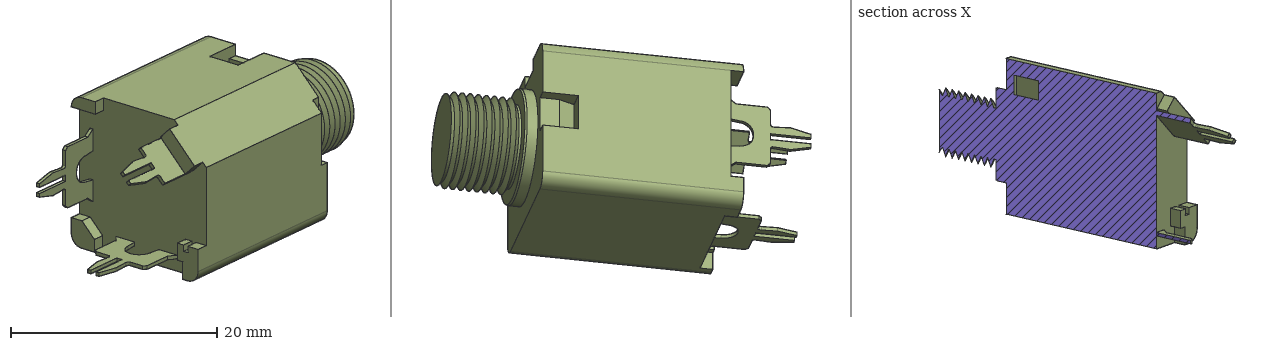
import cadquery as cq
import math


total_length = 35.3

width = 15.8
half_width = width / 2
edge_radius = 1.3
corner_bevel = 4.0
bevel_angle = 45
rear_depth = 18.7
boss_height = 1.27
bevel_distance = (width - corner_bevel) / math.sqrt(2)

collar_radius = 5.72
collar_length = 1.27
collar_bevel_length = 0.2
collar_bevel_inset = 0.07
crest_radius = 4.73
root_radius = 4.13
thread_end_radius = 4.52
tooth_count = 8
bushing_length = 8.33
neck_length = 0.25
thread_pitch = (bushing_length - collar_length - neck_length) / (tooth_count + 0.5)

recess_depth = 1.2
top_window_width = 3.53
top_window_length = 4.0
top_ledge_length = 1.0
top_wall = 1.55
core_radius = 5.47
side_window_top = 2.1
side_window_bottom = -1.55
side_window_length = 3.53
ramp_start = 1.9
ramp_bottom = -1.02
ramp_drop = 0.7
far_notch_depth = 1.1
far_notch_length = 0.9

upper_boss_width = 3.0
upper_boss_height = edge_radius
lower_boss_size = 2.9
lower_boss_shoulder = 1.35
catch_height = 3.65
catch_width = 2.58
catch_foot_width = 1.95
catch_foot_height = 1.85
catch_slot_inner = 1.8
catch_slot_outer = 1.27
catch_slot_floor = 2.95
bevel_boss_width = 4.38
bevel_boss_gap = 0.15

terminal_distance = 6.2
terminal_thickness = 0.4
terminal_offset = 0.5
blade_length = 4.25
blade_corner = 0.32
wide_blade_half_width = 3.2
narrow_blade_half_width = 2.12
flare_half_width = 3.8
flare_length = 0.78
eye_mouth_half_width = 1.52
eye_radius = 1.38
eye_center = 1.15
prong_length = total_length - bushing_length - rear_depth - blade_length
prong_neck_half_width = 1.1
prong_neck_length = 0.42
prong_barb_half_width = 1.2
prong_barb_position = 1.98
prong_tip_half_width = 0.7
prong_slot_width = 0.65
prong_root_radius = 0.2


def box_between(low, high):
    """Box spanning two opposite corners."""
    sizes = [b - a for a, b in zip(low, high)]
    return cq.Workplane("XY").box(*sizes, centered=False).translate(low)


def rear_boss(points):
    """Prism over an (x, z) outline, standing on the rear face."""
    rear_face = cq.Workplane("XZ", origin=(0, -rear_depth, 0))
    return rear_face.polyline(points).close().extrude(boss_height)


def housing_block():
    """Square prism with three rounded long edges and one beveled one."""
    block = cq.Workplane("XZ").rect(width, width).extrude(rear_depth + boss_height)
    block = block.edges("|Y and (<X or <Z)").fillet(edge_radius)
    return block.edges("|Y and >X and >Z").chamfer(corner_bevel)


def rear_bosses():
    """Bosses left standing at the four corners of the rear face."""
    left = -half_width
    right = half_width
    bottom = -half_width
    upper_boss = [
        (left, half_width),
        (left + upper_boss_width, half_width),
        (left + upper_boss_width, half_width - upper_boss_height),
        (left, half_width - upper_boss_height),
    ]
    lower_boss = [
        (left, bottom),
        (left, bottom + lower_boss_size),
        (left + lower_boss_shoulder, bottom + lower_boss_size),
        (left + lower_boss_size, bottom + lower_boss_shoulder),
        (left + lower_boss_size, bottom),
    ]
    catch = [
        (right, bottom),
        (right - catch_foot_width, bottom),
        (right - catch_foot_width, bottom + catch_foot_height),
        (right - catch_width, bottom + catch_foot_height),
        (right - catch_width, bottom + catch_height),
        (right - catch_slot_inner, bottom + catch_height),
        (right - catch_slot_inner, bottom + catch_slot_floor),
        (right - catch_slot_outer, bottom + catch_slot_floor),
        (right - catch_slot_outer, bottom + catch_height),
        (right, bottom + catch_height),
    ]
    bosses = rear_boss(upper_boss)
    for outline in (lower_boss, catch):
        bosses = bosses.union(rear_boss(outline))
    bevel_boss_inner = terminal_distance + terminal_thickness + bevel_boss_gap
    bevel_boss = box_between(
        (bevel_boss_inner, -rear_depth - boss_height, -bevel_boss_width / 2),
        (bevel_distance, -rear_depth, bevel_boss_width / 2),
    )
    return bosses.union(bevel_boss.rotate((0, 0, 0), (0, 1, 0), -bevel_angle))


def top_window():
    """Open-fronted window with a ledge, and behind the ledge a gap down to a round core.

    The gap runs on under the top wall, as far to +X of the axis as the window reaches to -X.
    """
    shallow = box_between(
        (-top_window_width, -top_window_length, half_width - recess_depth), (0, 0, half_width)
    )
    opening = box_between(
        (-top_window_width, -top_window_length, 0), (0, -top_ledge_length, half_width)
    )
    gap = box_between(
        (-top_window_width, -top_window_length, 0),
        (top_window_width, -top_ledge_length, half_width - top_wall),
    )
    core = cq.Workplane("XZ").circle(core_radius).extrude(rear_depth)
    return shallow.union(opening.union(gap).cut(core))


def side_window():
    """Open-fronted window in the -X side, with a ramp sinking towards its rear end."""
    floor = recess_depth - half_width
    recess = box_between(
        (-half_width, -side_window_length, side_window_bottom), (floor, 0, side_window_top)
    )
    ramp = (
        cq.Workplane("XY", origin=(0, 0, ramp_bottom))
        .polyline([
            (floor, -ramp_start),
            (floor, -side_window_length),
            (floor + ramp_drop, -side_window_length),
        ])
        .close()
        .extrude(side_window_top - ramp_bottom)
    )
    return recess.union(ramp)


def far_notch():
    """Shallow notch in the +X side that runs up through the beveled corner."""
    return box_between(
        (half_width - far_notch_depth, -far_notch_length, side_window_bottom),
        (half_width, 0, half_width),
    )


def bushing():
    """Collar and ring-shaped thread teeth, turned about the Y axis."""
    thread_start = collar_length + neck_length
    points = [
        (0, 0),
        (collar_radius, 0),
        (collar_radius, collar_length - collar_bevel_length),
        (collar_radius - collar_bevel_inset, collar_length),
        (root_radius, collar_length),
        (root_radius, thread_start),
    ]
    for tooth in range(tooth_count):
        tooth_start = thread_start + tooth * thread_pitch
        points.append((crest_radius, tooth_start + thread_pitch / 2))
        points.append((root_radius, tooth_start + thread_pitch))
    points += [(thread_end_radius, bushing_length), (0, bushing_length)]
    return cq.Workplane("XY").polyline(points).close().revolve(360, (0, 0), (0, 1))


def mirrored_plate(half_outline):
    """Flat plate whose outline is symmetric about its local y axis."""
    outline = half_outline + [(-x, y) for x, y in reversed(half_outline)]
    return cq.Workplane("XY").polyline(outline).close().extrude(terminal_thickness)


def flat_terminal(blade_half_outline):
    """Blade ending in two barbed prongs, lying flat with its local +y towards the tip."""
    prong_half_outline = [
        (prong_neck_half_width, blade_length),
        (prong_neck_half_width, blade_length + prong_neck_length),
        (prong_barb_half_width, blade_length + prong_barb_position),
        (prong_tip_half_width, blade_length + prong_length),
    ]
    plate = mirrored_plate(blade_half_outline).union(mirrored_plate(prong_half_outline))
    for side in (-1, 1):
        root = (side * prong_neck_half_width, blade_length, terminal_thickness / 2)
        plate = plate.edges(cq.NearestToPointSelector(root)).fillet(prong_root_radius)
    slot = (
        cq.Workplane("XY")
        .center(0, blade_length + prong_length / 2)
        .rect(prong_slot_width, prong_length)
        .extrude(terminal_thickness)
    )
    return plate.cut(slot)


def placed_terminal(plate, direction, offset):
    """Stand a flat terminal on the rear face, its thickness facing outward along direction."""
    out_x = math.cos(direction)
    out_z = math.sin(direction)
    inner_center = (
        out_x * terminal_distance - out_z * offset,
        -rear_depth,
        out_z * terminal_distance + out_x * offset,
    )
    plane = cq.Plane(origin=inner_center, xDir=(-out_z, 0, out_x), normal=(out_x, 0, out_z))
    return plate.val().moved(cq.Location(plane))


def wide_terminal(direction, offset):
    """Terminal with flared legs on both sides of a round-ended eye."""
    half_outline = [
        (flare_half_width, 0),
        (wide_blade_half_width, flare_length),
        (wide_blade_half_width, blade_length - blade_corner),
        (wide_blade_half_width - blade_corner, blade_length),
    ]
    eye = (
        cq.Workplane("XY")
        .moveTo(-eye_mouth_half_width, 0)
        .lineTo(-eye_radius, eye_center)
        .threePointArc((0, eye_center + eye_radius), (eye_radius, eye_center))
        .lineTo(eye_mouth_half_width, 0)
        .close()
        .extrude(terminal_thickness)
    )
    return placed_terminal(flat_terminal(half_outline).cut(eye), direction, offset)


def corner_terminal():
    """Narrow terminal under the boss of the beveled corner, in one piece with the housing."""
    half_outline = [(narrow_blade_half_width, 0), (narrow_blade_half_width, blade_length)]
    return placed_terminal(flat_terminal(half_outline), math.radians(bevel_angle), 0)


def housing():
    """Block trimmed at the rear to its bosses, opened by the windows, with its bushing."""
    main_box = box_between((-half_width, -rear_depth, -half_width), (half_width, 0, half_width))
    body = housing_block().intersect(main_box.union(rear_bosses()))
    for opening in (top_window(), side_window(), far_notch()):
        body = body.cut(opening)
    return body.union(bushing()).union(cq.Workplane(corner_terminal()))


wide_terminals = [
    wide_terminal(direction, offset)
    for direction, offset in (
        (math.pi, -terminal_offset),
        (-math.pi / 2, terminal_offset),
    )
]

result = cq.Compound.makeCompound([housing().val(), *wide_terminals])